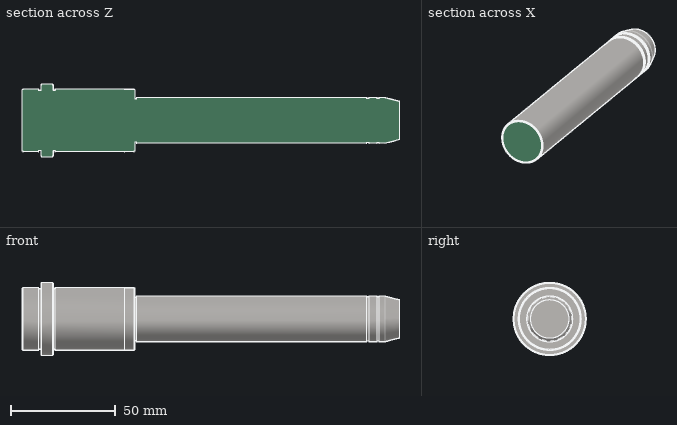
import cadquery as cq
import math

total_length = 180.0

head_diameter = 30.0
collar_diameter = 35.0
shaft_diameter = 22.0

collar_start = 9.0
collar_end = 15.0
lead_start = 49.0
body_end = 54.0

fitting_chamfer = 0.5
collar_chamfer = 0.45

relief_depth = 0.5
front_relief_start = 8.0
rear_relief_end = 15.8

lead_clearance = 0.05

shaft_relief_width = 0.5
shaft_relief_depth = 0.5

tip_length = 7.0
tip_angle = 14.5

ring_groove_count = 2
ring_groove_width = 1.0
ring_groove_depth = 0.4
ring_groove_spacing = 4.9
last_ring_groove_start = 169.2


def cylinder(start, end, diameter):
    """Solid cylinder along X from start to end."""
    return cq.Workplane("YZ").workplane(offset=start).circle(diameter / 2).extrude(end - start)


def cut_groove(body, start, end, outer_diameter, depth):
    """Cut a square groove of the given depth into a cylindrical surface."""
    ring = cylinder(start, end, outer_diameter)
    core = cylinder(start, end, outer_diameter - 2 * depth)
    return body.cut(ring.cut(core))


def make_fitting():
    """Head and fitting body with reliefs on both sides of the collar and a lead-in."""
    body = cylinder(0, lead_start, head_diameter)
    body = body.faces("<X").chamfer(fitting_chamfer)
    body = cut_groove(body, front_relief_start, collar_start, head_diameter, relief_depth)
    body = cut_groove(body, collar_end, rear_relief_end, head_diameter, relief_depth)
    lead = cylinder(lead_start, body_end, head_diameter - 2 * lead_clearance)
    lead = lead.faces(">X").chamfer(fitting_chamfer)
    return body.union(lead)


def make_collar():
    """Collar with both rims chamfered."""
    collar = cylinder(collar_start, collar_end, collar_diameter)
    return collar.faces("<X or >X").chamfer(collar_chamfer)


def make_shaft():
    """Shaft with a tapered tip, a relief at the body and ring grooves near the tip."""
    tip_drop = tip_length * math.tan(math.radians(tip_angle))
    shaft = cylinder(body_end, total_length, shaft_diameter)
    shaft = shaft.faces(">X").chamfer(tip_length, tip_drop)
    relief_end = body_end + shaft_relief_width
    shaft = cut_groove(shaft, body_end, relief_end, shaft_diameter, shaft_relief_depth)
    for index in range(ring_groove_count):
        start = last_ring_groove_start - index * ring_groove_spacing
        end = start + ring_groove_width
        shaft = cut_groove(shaft, start, end, shaft_diameter, ring_groove_depth)
    return shaft


result = make_fitting().union(make_collar()).union(make_shaft())